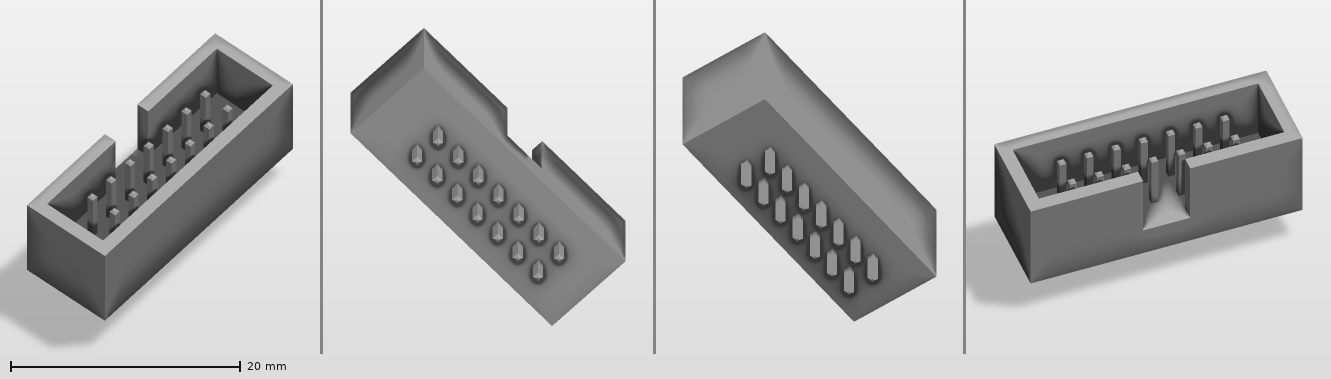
import cadquery as cq


housing_length = 25.4
housing_width = 8.9
housing_height = 8.9
wall = 1.25
cavity_depth = 6.1
floor_height = housing_height - cavity_depth

notch_width = 4.4

pin_rows = 2
pins_per_row = 7
pitch = 2.55
pin_size = 0.64
pin_tip_chamfer = 0.2
pin_bottom = -3.02
pin_top = 8.0


def make_housing():
    """Block standing on Z = 0, hollowed from the top by the pin cavity."""
    block = cq.Workplane("XY").box(
        housing_width, housing_length, housing_height, centered=(True, True, False)
    )
    return (
        block.faces(">Z")
        .workplane()
        .rect(housing_width - 2 * wall, housing_length - 2 * wall)
        .cutBlind(-cavity_depth)
    )


def make_notch():
    """Cutter for the notch, reaching down to the cavity floor."""
    return (
        cq.Workplane("XY", origin=(-(housing_width - wall) / 2, 0, floor_height))
        .rect(wall, notch_width)
        .extrude(cavity_depth)
    )


def make_pins():
    """Square pins with chamfered tips, passing down through the floor."""
    return (
        cq.Workplane("XY", origin=(0, 0, pin_bottom))
        .rarray(pitch, pitch, pin_rows, pins_per_row)
        .rect(pin_size, pin_size)
        .extrude(pin_top - pin_bottom)
        .faces("<Z or >Z")
        .chamfer(pin_tip_chamfer)
    )


result = make_housing().cut(make_notch()).union(make_pins())